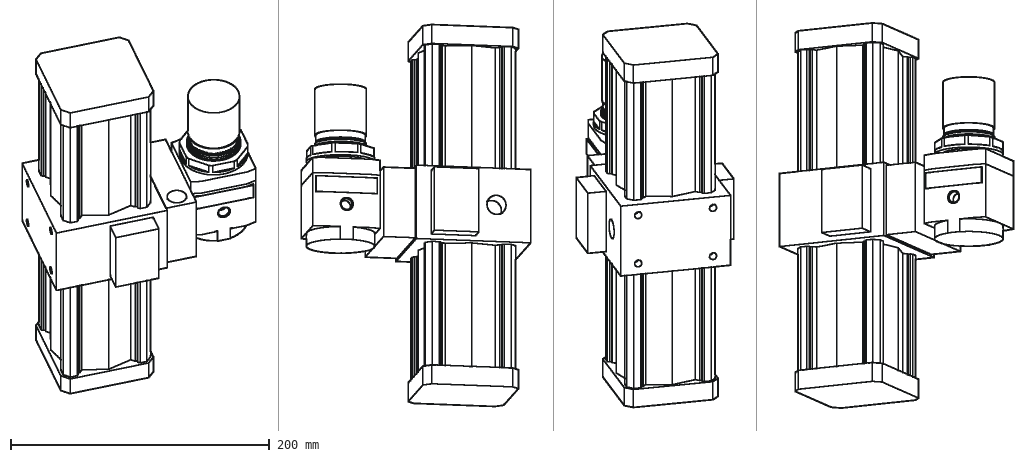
import cadquery as cq
import math


total_height = 284.0
block_width = 88.0
block_depth = 90.0
block_height = 58.0

cap_width = 75.2
cap_height = 15.0
cap_chamfer = 5.8

tube_half = 35.5
post_chamfer = 4.5
post_inner = 25.5
valley_offset = 19.8
notch_outer = 24.2
notch_size = 1.7

pad_width = 117.0
pad_depth = 35.0
pad_height = 50.0
pad_front_gap = 43.5

manifold_width = 79.0
manifold_depth = 25.0
manifold_height = 55.0

mount_hole_diameter = 5.5
mount_hole_depth = 10.0
mount_spacing_x = 60.0
mount_spacing_z = 40.0

port_diameter = 15.0
port_depth = 20.0
block_port_y = -18.0
manifold_port_x = 28.7

regulator_size = 53.0
corner_cut_y = 7.5
corner_cut_angle = 15.0

base_bottom_z = -28.0
body_bottom_z = -18.0
body_top_z = 24.0
bonnet_top_z = 36.0
flange_bottom_z = 38.8
flange_top_z = 41.3
nut_top_z = 48.2
thread_top_z = 50.7
collar_top_z = 52.7
knob_bottom_z = 54.3
knob_step_z = 59.6
knob_top_z = 96.0

base_tab_width = 10.4
plate_thickness = 0.2
plate_length = 48.0
plate_bottom_z = 9.0
plate_top_z = 21.4

gauge_port_diameter = 8.5
gauge_port_mouth_diameter = 10.0
gauge_port_depth = 8.0
drill_tip_angle = 118.0

thread_diameter = 42.0
thread_chamfer = 1.0
collar_diameter = 40.0
neck_diameter = 36.5
nut_across_flats = 50.0
knob_diameter = 40.0
knob_skirt_diameter = 38.5

corner_cut_x = corner_cut_y * math.tan(math.radians(corner_cut_angle))
tube_length = total_height / 2 - cap_height - block_height / 2
block_front_y = -block_depth / 2
block_back_y = block_depth / 2
manifold_center_y = block_back_y + manifold_depth / 2
regulator_center_y = block_back_y + manifold_depth + regulator_size / 2


def disc(diameter, bottom_z, top_z):
    """Cylinder on the regulator axis."""
    plane = cq.Workplane("XY", origin=(0, regulator_center_y, bottom_z))
    return plane.circle(diameter / 2).extrude(top_z - bottom_z)


def tube_outline():
    """Closed tube section: four ridged sides between chamfered corner posts."""
    valley = tube_half - (post_inner - valley_offset)
    notch_inner = notch_outer - notch_size
    notch_floor = valley + notch_inner - valley_offset
    half_side = [
        (valley_offset, valley),
        (notch_inner, notch_floor),
        (notch_outer, notch_floor),
        (notch_outer, notch_floor + notch_size),
        (post_inner, tube_half),
        (tube_half - post_chamfer, tube_half),
    ]
    side = [(-x, y) for x, y in reversed(half_side)] + [(0, tube_half)] + half_side
    outline = []
    for quarter in range(4):
        turn = -quarter * math.pi / 2
        for x, y in side:
            turned_x = x * math.cos(turn) - y * math.sin(turn)
            turned_y = x * math.sin(turn) + y * math.cos(turn)
            outline.append((turned_x, turned_y))
    return outline


def make_capped_tube():
    """Tube and end cap standing on top of the block."""
    tube = (
        cq.Workplane("XY", origin=(0, 0, block_height / 2))
        .polyline(tube_outline())
        .close()
        .extrude(tube_length)
    )
    cap = (
        cq.Workplane("XY", origin=(0, 0, total_height / 2 - cap_height))
        .rect(cap_width, cap_width)
        .extrude(cap_height)
        .edges("|Z")
        .chamfer(cap_chamfer)
    )
    return tube.union(cap)


def make_booster():
    block = cq.Workplane("XY").box(block_width, block_depth, block_height)
    pad_center_y = block_front_y + pad_front_gap + pad_depth / 2
    pads = cq.Workplane("XY").box(pad_width, pad_depth, pad_height).translate((0, pad_center_y, 0))
    manifold = (
        cq.Workplane("XY")
        .box(manifold_width, manifold_depth, manifold_height)
        .translate((0, manifold_center_y, 0))
    )
    upper_tube = make_capped_tube()
    lower_tube = upper_tube.mirror("XY")
    booster = block.union(pads).union(manifold).union(upper_tube).union(lower_tube)

    mount_holes = (
        cq.Workplane("XZ", origin=(0, block_front_y, 0))
        .rect(mount_spacing_x, mount_spacing_z, forConstruction=True)
        .vertices()
        .circle(mount_hole_diameter / 2)
        .extrude(-mount_hole_depth)
    )
    block_port = (
        cq.Workplane("YZ", origin=(-block_width / 2, block_port_y, 0))
        .circle(port_diameter / 2)
        .extrude(port_depth)
    )
    manifold_port = (
        cq.Workplane("XY", origin=(manifold_port_x, manifold_center_y, manifold_height / 2))
        .circle(port_diameter / 2)
        .extrude(-port_depth)
    )
    return booster.cut(mount_holes).cut(block_port).cut(manifold_port)


def regulator_block(bottom_z, top_z):
    """Square block whose vertical corners are cut by long, shallow flats."""
    half = regulator_size / 2
    outline = [
        (half, half - corner_cut_y),
        (half - corner_cut_x, half),
        (corner_cut_x - half, half),
        (-half, half - corner_cut_y),
        (-half, corner_cut_y - half),
        (corner_cut_x - half, -half),
        (half - corner_cut_x, -half),
        (half, corner_cut_y - half),
    ]
    plane = cq.Workplane("XY", origin=(0, regulator_center_y, bottom_z))
    return plane.polyline(outline).close().extrude(top_z - bottom_z)


def gauge_port_cutter():
    """Drilled port entering the -X side, with a countersunk mouth and a drill-tip end."""
    radius = gauge_port_diameter / 2
    mouth_radius = gauge_port_mouth_diameter / 2
    mouth_depth = mouth_radius - radius
    tip_length = radius / math.tan(math.radians(drill_tip_angle / 2))
    profile = [
        (0, 0),
        (0, mouth_radius),
        (mouth_depth, radius),
        (gauge_port_depth, radius),
        (gauge_port_depth + tip_length, 0),
    ]
    plane = cq.Workplane("XY", origin=(-regulator_size / 2, regulator_center_y, 0))
    return plane.polyline(profile).close().revolve(360, (0, 0), (1, 0))


def make_regulator_body():
    body = regulator_block(body_bottom_z, body_top_z)
    base_height = body_bottom_z - base_bottom_z
    base = disc(regulator_size, base_bottom_z, body_bottom_z)
    base_tabs = (
        cq.Workplane("XY", origin=(0, regulator_center_y, base_bottom_z))
        .rect(regulator_size, base_tab_width)
        .extrude(base_height)
    )
    plates = (
        cq.Workplane("XY", origin=(0, regulator_center_y, plate_bottom_z))
        .rect(regulator_size + 2 * plate_thickness, plate_length)
        .extrude(plate_top_z - plate_bottom_z)
    )
    left_port = gauge_port_cutter()
    right_port = left_port.mirror("YZ")
    return body.union(base).union(base_tabs).union(plates).cut(left_port).cut(right_port)


def make_bonnet():
    bonnet = regulator_block(body_top_z, bonnet_top_z)
    thread = disc(thread_diameter, bonnet_top_z, thread_top_z).faces(">Z").chamfer(thread_chamfer)
    collar = disc(collar_diameter, thread_top_z, collar_top_z)
    neck = disc(neck_diameter, collar_top_z, knob_bottom_z)
    return bonnet.union(thread).union(collar).union(neck)


def make_panel_nut():
    """Octagonal nut with rounded corners on a round flange."""
    octagon_diameter = nut_across_flats / math.cos(math.pi / 8)
    octagon = (
        cq.Workplane("XY", origin=(0, regulator_center_y, flange_top_z))
        .transformed(rotate=(0, 0, 180 / 8))
        .polygon(8, octagon_diameter)
        .extrude(nut_top_z - flange_top_z)
    )
    rounded = octagon.intersect(disc(regulator_size, flange_top_z, nut_top_z))
    flange = disc(regulator_size, flange_bottom_z, flange_top_z)
    return rounded.union(flange).cut(disc(thread_diameter, flange_bottom_z, nut_top_z))


def make_knob():
    skirt = disc(knob_skirt_diameter, knob_bottom_z, knob_step_z)
    return skirt.union(disc(knob_diameter, knob_step_z, knob_top_z))


booster = make_booster()
regulator_body = make_regulator_body()
bonnet = make_bonnet()
panel_nut = make_panel_nut()
knob = make_knob()

result = cq.Compound.makeCompound(
    [booster.val(), regulator_body.val(), bonnet.val(), panel_nut.val(), knob.val()]
)